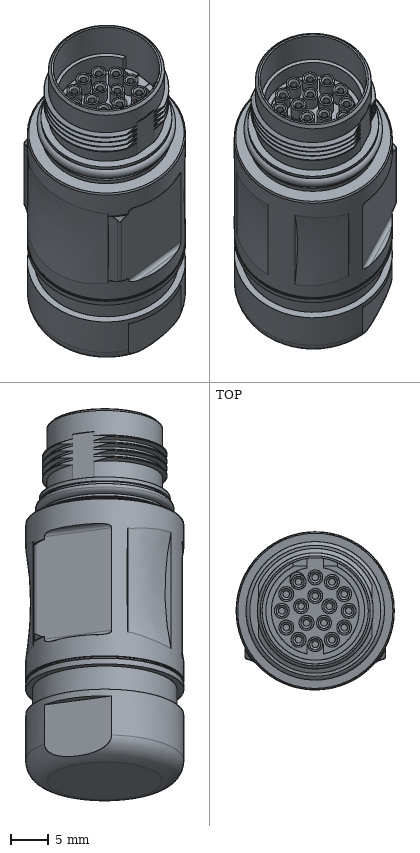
import cadquery as cq
import math

TOTAL_HEIGHT = 50.45
NUT_TOP = 9.4
RING_BOTTOM = 13.0
GROOVE_BOTTOM = 13.9
BODY_BOTTOM = 14.15
BODY_TOP = 36.7
LOWER_COLLAR_TOP = 37.65
UPPER_COLLAR_BOTTOM = 39.7
UPPER_COLLAR_TOP = 40.25

BODY_RADIUS = 10.65
NUT_NECK_RADIUS = 9.74
GROOVE_RADIUS = 10.4
COLLAR_RADIUS = 8.82
SEAL_SEAT_RADIUS = 8.5
SLEEVE_RADIUS = 7.81
NUT_FILLET = 2.9
BODY_EDGE_CHAMFER = 0.2
RING_EDGE_CHAMFER = 0.1
SLEEVE_EDGE_CHAMFER = 0.4
COLLAR_EDGE_CHAMFER = 0.25

O_RING_SECTION_RADIUS = 0.67
O_RING_HEIGHT = 38.65
O_RING_OUTER_RADIUS = 9.33
O_RING_CENTER_RADIUS = O_RING_OUTER_RADIUS - O_RING_SECTION_RADIUS

FLAT_X = 9.46
NUT_FLAT_TOP = 8.45
GRIP_MID = 25.1
PAD_HEIGHT = 15.8
PAD_FILLET = 0.6

FRONT_GRIP_HALF_WIDTH = 7.87
REAR_GRIP_HALF_WIDTH = 8.25
GRIP_CENTER_DEPTH = 0.92
GRIP_EDGE_DEPTH = 0.13
GRIP_CENTER_HALF_HEIGHT = 8.3
GRIP_EDGE_HALF_HEIGHT = 7.4
GRIP_PATCH_STEPS = 12
GRIP_HEIGHT_MARGIN = 1.2
GRIP_CUT_REACH = 6.0
GRIP_FIT_TOLERANCE = 0.005
REAR_RIB_WIDTH = 4.0

LUG_HEIGHT = 13.8
LUG_REACH_RADIUS = 11.4
LUG_CORNER_FILLET = 0.4
LUG_END_CHAMFER = 0.6
LUG_FRONT_Y = -6.55
LUG_BLEND_RADIUS = 2.5
LUG_ROOT = (-FRONT_GRIP_HALF_WIDTH, -7.17)
LUG_INNER_X = 6.0

THREAD_PITCH = 1.0
THREAD_TURNS = 4
THREAD_START = 42.65
THREAD_CREST_RADIUS = 8.4
THREAD_BASE_WIDTH = 0.86
THREAD_CREST_WIDTH = 0.16
THREAD_EMBED = 0.2
SLEEVE_FLAT_X = 7.65
SLEEVE_FLAT_TOP = 47.1

BORE_RADIUS = 7.15
INSERT_FACE = 41.7
PLATEAU_RADIUS = 5.9
PLATEAU_HEIGHT = 0.3
LEDGE_TOP = 44.85
LEDGE_INNER_RADIUS = 6.65
LEDGE_GAP_WIDTH = 6.0
KEY_CHORD_Y = 6.05
KEY_SLOT_WIDTH = 2.2
KEY_BLOCK_HEIGHT = 0.6

CONTACT_TOP = 44.25
CONTACT_RADIUS = 1.0
CONTACT_BORE_RADIUS = 0.45
CONTACT_MOUTH_RADIUS = 0.75
CONTACT_BORE_DEPTH = 2.0
OUTER_RING_COUNT = 12
OUTER_RING_RADIUS = 4.5
INNER_RING_COUNT = 5
INNER_RING_RADIUS = 2.0
MARKER_ANGLE = 120
MARKER_OFFSET = 0.35
MARKER_HEIGHT = 0.8


def cylinder(radius, bottom, top):
    return cq.Workplane("XY").workplane(offset=bottom).circle(radius).extrude(top - bottom)


def block(x_range, y_range, z_range):
    size = [high - low for low, high in (x_range, y_range, z_range)]
    corner = (x_range[0], y_range[0], z_range[0])
    return cq.Workplane("XY").box(*size, centered=False).translate(corner)


def make_turned_outline():
    """Nut, neck, retaining ring, groove and body, stacked from the bottom up."""
    nut = cylinder(BODY_RADIUS, 0, NUT_TOP).faces("<Z").edges().fillet(NUT_FILLET)
    neck = cylinder(NUT_NECK_RADIUS, NUT_TOP, RING_BOTTOM)
    ring = cylinder(BODY_RADIUS, RING_BOTTOM, GROOVE_BOTTOM)
    ring = ring.faces(">Z").edges().chamfer(RING_EDGE_CHAMFER)
    groove = cylinder(GROOVE_RADIUS, GROOVE_BOTTOM, BODY_BOTTOM)
    body = cylinder(BODY_RADIUS, BODY_BOTTOM, BODY_TOP)
    body = body.faces(">Z").edges().chamfer(BODY_EDGE_CHAMFER)
    return nut.union(neck).union(ring).union(groove).union(body)


def make_lug():
    """Corner lug on the -X side; its outer face is flush with the side pad."""
    half = LUG_HEIGHT / 2
    lug = (
        cq.Workplane("XY")
        .workplane(offset=GRIP_MID - half)
        .moveTo(-FLAT_X, 0)
        .lineTo(-FLAT_X, LUG_FRONT_Y + LUG_CORNER_FILLET)
        .radiusArc((-FLAT_X + LUG_CORNER_FILLET, LUG_FRONT_Y), -LUG_CORNER_FILLET)
        .radiusArc(LUG_ROOT, LUG_BLEND_RADIUS)
        .lineTo(-LUG_INNER_X, 0)
        .close()
        .extrude(LUG_HEIGHT)
    )
    envelope = cylinder(LUG_REACH_RADIUS, GRIP_MID - half, GRIP_MID + half)
    return lug.intersect(envelope.faces("|Z").edges().chamfer(LUG_END_CHAMFER))


def make_pad_cutter():
    """Block removing the -X side of the body, rounded at both ends of the floor."""
    reach = 2 * (BODY_RADIUS - FLAT_X)
    half = PAD_HEIGHT / 2
    cutter = block(
        (-FLAT_X - reach, -FLAT_X),
        (-BODY_RADIUS, BODY_RADIUS),
        (GRIP_MID - half, GRIP_MID + half),
    )
    return cutter.faces(">X").edges("|Y").fillet(PAD_FILLET)


def make_grip_cutter(half_width):
    """Cutter on the -Y side, bounded by a saddle that is deepest at its centre line."""

    def saddle_point(u, v):
        x = u * half_width
        blend = u**2
        depth = GRIP_CENTER_DEPTH + (GRIP_EDGE_DEPTH - GRIP_CENTER_DEPTH) * blend
        half_height = GRIP_CENTER_HALF_HEIGHT + (GRIP_EDGE_HALF_HEIGHT - GRIP_CENTER_HALF_HEIGHT) * blend
        rise = v * GRIP_CENTER_HALF_HEIGHT * GRIP_HEIGHT_MARGIN
        local_depth = depth * (1 - (rise / half_height) ** 2)
        y = local_depth - math.sqrt(BODY_RADIUS**2 - x**2)
        return cq.Vector(x, y, GRIP_MID + rise)

    fractions = [2 * i / GRIP_PATCH_STEPS - 1 for i in range(GRIP_PATCH_STEPS + 1)]
    grid = [[saddle_point(u, v) for v in fractions] for u in fractions]
    saddle = cq.Face.makeSplineApprox(grid, tol=GRIP_FIT_TOLERANCE)
    return cq.Workplane(obj=cq.Solid.extrudeLinear(saddle, cq.Vector(0, -GRIP_CUT_REACH, 0)))


def shape_grip_zone(part):
    """Side pads, lugs and finger grips; a plain rib is left between the two rear grips."""
    pad_cutter = make_pad_cutter()
    lug = make_lug()
    for side in (pad_cutter, pad_cutter.mirror("YZ")):
        part = part.cut(side)
    for side in (lug, lug.mirror("YZ")):
        part = part.union(side)
    part = part.cut(make_grip_cutter(FRONT_GRIP_HALF_WIDTH))
    rib = block(
        (-REAR_RIB_WIDTH / 2, REAR_RIB_WIDTH / 2),
        (0, 2 * BODY_RADIUS),
        (0, TOTAL_HEIGHT),
    )
    return part.cut(make_grip_cutter(REAR_GRIP_HALF_WIDTH).mirror("XZ").cut(rib))


def cut_nut_flats(part):
    for side in (-1, 1):
        x_range = sorted((side * FLAT_X, side * 2 * BODY_RADIUS))
        part = part.cut(block(x_range, (-BODY_RADIUS, BODY_RADIUS), (0, NUT_FLAT_TOP)))
    return part


def make_thread():
    """Right-handed helical ridge that starts and ends on the -X flat."""
    root = SLEEVE_RADIUS - THREAD_EMBED
    helix = cq.Wire.makeHelix(THREAD_PITCH, THREAD_PITCH * THREAD_TURNS, root)
    ridge = (
        cq.Workplane("XZ")
        .polyline(
            [
                (root, -THREAD_BASE_WIDTH / 2),
                (THREAD_CREST_RADIUS, -THREAD_CREST_WIDTH / 2),
                (THREAD_CREST_RADIUS, THREAD_CREST_WIDTH / 2),
                (root, THREAD_BASE_WIDTH / 2),
            ]
        )
        .close()
        .sweep(cq.Workplane(obj=helix), isFrenet=True)
    )
    return ridge.rotate((0, 0, 0), (0, 0, 1), 180).translate((0, 0, THREAD_START))


def make_sleeve():
    """Threaded sleeve, flattened on both sides and bored down to the insert face."""
    sleeve = cylinder(SLEEVE_RADIUS, UPPER_COLLAR_TOP, TOTAL_HEIGHT)
    sleeve = sleeve.faces(">Z").edges().chamfer(SLEEVE_EDGE_CHAMFER)
    sleeve = sleeve.union(make_thread())
    for side in (-1, 1):
        x_range = sorted((side * SLEEVE_FLAT_X, side * BODY_RADIUS))
        z_range = (UPPER_COLLAR_TOP, SLEEVE_FLAT_TOP)
        sleeve = sleeve.cut(block(x_range, (-BODY_RADIUS, BODY_RADIUS), z_range))
    return sleeve.cut(cylinder(BORE_RADIUS, INSERT_FACE, TOTAL_HEIGHT))


def make_seal_seat():
    """Two collars with the O-ring seated between them."""
    seat = cylinder(COLLAR_RADIUS, BODY_TOP, LOWER_COLLAR_TOP)
    seat = seat.faces(">Z").edges().chamfer(COLLAR_EDGE_CHAMFER)
    seat = seat.union(cylinder(SEAL_SEAT_RADIUS, LOWER_COLLAR_TOP, UPPER_COLLAR_BOTTOM))
    seat = seat.union(cylinder(COLLAR_RADIUS, UPPER_COLLAR_BOTTOM, UPPER_COLLAR_TOP))
    o_ring = cq.Solid.makeTorus(
        O_RING_CENTER_RADIUS, O_RING_SECTION_RADIUS, cq.Vector(0, 0, O_RING_HEIGHT)
    )
    return seat.union(cq.Workplane(obj=o_ring))


def make_insert():
    """Raised plateau with a bridge to the wall at +Y, a key slot at -Y and an outer ledge."""
    plateau_top = INSERT_FACE + PLATEAU_HEIGHT
    half_slot = KEY_SLOT_WIDTH / 2
    half_gap = LEDGE_GAP_WIDTH / 2
    full_ledge = cylinder(BORE_RADIUS, INSERT_FACE, LEDGE_TOP)
    plateau = cylinder(PLATEAU_RADIUS, INSERT_FACE, plateau_top)
    key_slot = block(
        (-half_slot, half_slot), (-BORE_RADIUS, -OUTER_RING_RADIUS), (INSERT_FACE, plateau_top)
    )
    bridge = block((-half_slot, half_slot), (0, BORE_RADIUS), (INSERT_FACE, plateau_top))
    ledge = full_ledge.cut(cylinder(LEDGE_INNER_RADIUS, INSERT_FACE, LEDGE_TOP))
    ledge = ledge.cut(block((-half_gap, half_gap), (0, BORE_RADIUS), (INSERT_FACE, LEDGE_TOP)))
    insert = plateau.union(bridge.intersect(full_ledge)).cut(key_slot).union(ledge)
    for x_range in ((-half_gap, -half_slot), (half_slot, half_gap)):
        z_range = (INSERT_FACE, INSERT_FACE + KEY_BLOCK_HEIGHT)
        key = block(x_range, (KEY_CHORD_Y, BORE_RADIUS), z_range)
        insert = insert.union(key.intersect(full_ledge))
    return insert


def ring_points(count, radius):
    """Evenly spaced points on a circle, the first one on +Y."""
    angles = [math.pi / 2 + 2 * math.pi * i / count for i in range(count)]
    return [(radius * math.cos(angle), radius * math.sin(angle)) for angle in angles]


def add_contacts(part):
    """Socket contacts on two rings, each with a countersunk bore, plus the marker boss."""
    points = ring_points(OUTER_RING_COUNT, OUTER_RING_RADIUS)
    points += ring_points(INNER_RING_COUNT, INNER_RING_RADIUS)
    tubes = (
        cq.Workplane("XY")
        .workplane(offset=INSERT_FACE)
        .pushPoints(points)
        .circle(CONTACT_RADIUS)
        .extrude(CONTACT_TOP - INSERT_FACE)
    )
    bore = cylinder(CONTACT_BORE_RADIUS, CONTACT_TOP - CONTACT_BORE_DEPTH, CONTACT_TOP)
    mouth_depth = CONTACT_MOUTH_RADIUS - CONTACT_BORE_RADIUS
    mouth = cq.Solid.makeCone(
        CONTACT_BORE_RADIUS,
        CONTACT_MOUTH_RADIUS,
        mouth_depth,
        cq.Vector(0, 0, CONTACT_TOP - mouth_depth),
    )
    socket = bore.union(cq.Workplane(obj=mouth))
    marker_radius = OUTER_RING_RADIUS + MARKER_OFFSET
    marker_angle = math.radians(MARKER_ANGLE)
    marker = cylinder(CONTACT_RADIUS, INSERT_FACE, INSERT_FACE + MARKER_HEIGHT).translate(
        (marker_radius * math.cos(marker_angle), marker_radius * math.sin(marker_angle), 0)
    )
    part = part.union(marker).union(tubes)
    for x, y in points:
        part = part.cut(socket.translate((x, y, 0)))
    return part


body = cut_nut_flats(shape_grip_zone(make_turned_outline()))
connector = body.union(make_seal_seat()).union(make_sleeve()).union(make_insert())
result = add_contacts(connector)